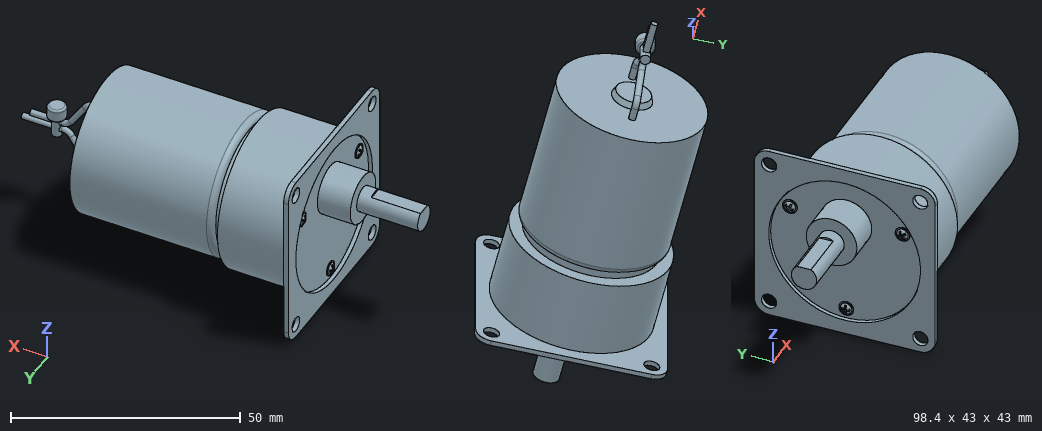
import cadquery as cq
import math

BOSS_START = 15.0
PLATE_FRONT = 22.0
PLATE_THICKNESS = 1.2
GEARBOX_END = 41.0
MOTOR_START = 43.0
MOTOR_END = 78.0
BEARING_CAP_END = 79.5
LONG_WIRE_END = 98.4
SHORT_WIRE_END = 96.4

SHAFT_OFFSET = 7.0
SHAFT_DIAMETER = 6.0
SHAFT_FLAT_LENGTH = 12.0
SHAFT_FLAT_DEPTH = 0.5
BOSS_DIAMETER = 12.0

PLATE_SIZE = 43.0
PLATE_CORNER_RADIUS = 3.5
MOUNT_HOLE_SPACING = 35.9
MOUNT_HOLE_DIAMETER = 3.5
RECESS_DIAMETER = 36.0
RECESS_DEPTH = 1.0

GEARBOX_DIAMETER = 37.0
NECK_DIAMETER = 31.0
MOTOR_DIAMETER = 34.1
MOTOR_SHOULDER_RADIUS = 1.5
CAP_BASE_DIAMETER = 9.3
CAP_TIP_DIAMETER = 8.1

SCREW_COUNT = 3
SCREW_CIRCLE_RADIUS = 15.5
SCREW_FLANGE_DIAMETER = 3.4
SCREW_FLANGE_HEIGHT = 0.2
SCREW_DOME_DIAMETER = 2.8
SCREW_DOME_HEIGHT = 0.7
CROSS_LENGTH = 2.0
CROSS_WIDTH = 0.4
CROSS_DEPTH = 0.5

WIRE_DIAMETER = 1.6
WIRE_EXIT_HEIGHT = 8.3
WIRE_JOINED_HEIGHT = 0.9
WIRE_SLOPE_START = 82.3
WIRE_SLOPE_END = 87.2
WIRE_BEND_RADIUS = 2.5

PIN_X = 90.1
PIN_STEM_DIAMETER = 2.4
PIN_BOTTOM = -2.9
PIN_HEAD_DIAMETER = 4.4
PIN_HEAD_BOTTOM = 1.9
PIN_HEAD_TOP = 5.2
PIN_HEAD_FILLET = 0.5

GEARBOX_START = PLATE_FRONT + RECESS_DEPTH
OVERLAP = 1.0


def x_cylinder(diameter, start, end, z=0):
    """Cylinder along X between two positions, at height z."""
    return cq.Workplane("YZ", origin=(start, 0, z)).circle(diameter / 2).extrude(end - start)


def make_shaft():
    """Output shaft with a flat on top, and the boss around it."""
    shaft = x_cylinder(SHAFT_DIAMETER, 0, BOSS_START + OVERLAP, z=SHAFT_OFFSET)
    flat_height = SHAFT_OFFSET + SHAFT_DIAMETER / 2 - SHAFT_FLAT_DEPTH
    flat = cq.Workplane("XY", origin=(0, 0, flat_height)).box(
        SHAFT_FLAT_LENGTH, SHAFT_DIAMETER, SHAFT_DIAMETER, centered=(False, True, False)
    )
    boss = x_cylinder(BOSS_DIAMETER, BOSS_START, GEARBOX_START + OVERLAP, z=SHAFT_OFFSET)
    return shaft.cut(flat).union(boss)


def make_plate():
    """Square plate with corner holes and a round opening that leaves the gearbox face recessed."""
    plate = (
        cq.Workplane("YZ", origin=(PLATE_FRONT, 0, 0))
        .rect(PLATE_SIZE, PLATE_SIZE)
        .extrude(PLATE_THICKNESS)
        .edges("|X")
        .fillet(PLATE_CORNER_RADIUS)
    )
    holes = (
        cq.Workplane("YZ", origin=(PLATE_FRONT, 0, 0))
        .rect(MOUNT_HOLE_SPACING, MOUNT_HOLE_SPACING, forConstruction=True)
        .vertices()
        .circle(MOUNT_HOLE_DIAMETER / 2)
        .extrude(PLATE_THICKNESS)
    )
    opening = x_cylinder(RECESS_DIAMETER, PLATE_FRONT, PLATE_FRONT + PLATE_THICKNESS)
    return plate.cut(holes).cut(opening)


def make_body():
    """Gearbox, neck, motor can and rear bearing cap as one turned profile."""
    motor_radius = MOTOR_DIAMETER / 2
    shoulder_inner_radius = motor_radius - MOTOR_SHOULDER_RADIUS
    shoulder_end = MOTOR_START + MOTOR_SHOULDER_RADIUS
    arc_offset = MOTOR_SHOULDER_RADIUS * math.sqrt(0.5)
    return (
        cq.Workplane("XY")
        .moveTo(GEARBOX_START, 0)
        .lineTo(GEARBOX_START, GEARBOX_DIAMETER / 2)
        .lineTo(GEARBOX_END, GEARBOX_DIAMETER / 2)
        .lineTo(GEARBOX_END, NECK_DIAMETER / 2)
        .lineTo(MOTOR_START, NECK_DIAMETER / 2)
        .lineTo(MOTOR_START, shoulder_inner_radius)
        .threePointArc(
            (shoulder_end - arc_offset, shoulder_inner_radius + arc_offset),
            (shoulder_end, motor_radius),
        )
        .lineTo(MOTOR_END, motor_radius)
        .lineTo(MOTOR_END, CAP_BASE_DIAMETER / 2)
        .lineTo(BEARING_CAP_END, CAP_TIP_DIAMETER / 2)
        .lineTo(BEARING_CAP_END, 0)
        .close()
        .revolve(360, (0, 0, 0), (1, 0, 0))
    )


def make_screw():
    """Flanged, domed cross-head screw at the bottom position."""
    dome_base = GEARBOX_START - SCREW_FLANGE_HEIGHT
    crown = dome_base - SCREW_DOME_HEIGHT
    radius = SCREW_DOME_DIAMETER / 2
    dome_radius = (radius**2 + SCREW_DOME_HEIGHT**2) / (2 * SCREW_DOME_HEIGHT)
    half_angle = math.asin(radius / dome_radius) / 2
    dome_middle = (
        crown + dome_radius * (1 - math.cos(half_angle)),
        dome_radius * math.sin(half_angle),
    )
    head = (
        cq.Workplane("XY")
        .moveTo(GEARBOX_START, 0)
        .lineTo(GEARBOX_START, SCREW_FLANGE_DIAMETER / 2)
        .lineTo(dome_base, SCREW_FLANGE_DIAMETER / 2)
        .lineTo(dome_base, radius)
        .threePointArc(dome_middle, (crown, 0))
        .close()
        .revolve(360, (0, 0, 0), (1, 0, 0))
    )
    cross = (
        cq.Workplane("YZ", origin=(crown, 0, 0))
        .rect(CROSS_LENGTH, CROSS_WIDTH)
        .extrude(CROSS_DEPTH)
        .union(
            cq.Workplane("YZ", origin=(crown, 0, 0))
            .rect(CROSS_WIDTH, CROSS_LENGTH)
            .extrude(CROSS_DEPTH)
        )
    )
    return head.cut(cross).translate((0, 0, -SCREW_CIRCLE_RADIUS))


def add_screws(part):
    """Join the screws to the part, evenly spaced around the motor axis."""
    screw = make_screw()
    for index in range(SCREW_COUNT):
        part = part.union(screw.rotate((0, 0, 0), (1, 0, 0), index * 360 / SCREW_COUNT))
    return part


def make_wire(side, end):
    """Wire leaving the motor above (side=1) or below (side=-1) the axis and bending inward."""
    exit_z = side * WIRE_EXIT_HEIGHT
    joined_z = side * WIRE_JOINED_HEIGHT
    slope = math.atan2(WIRE_EXIT_HEIGHT - WIRE_JOINED_HEIGHT, WIRE_SLOPE_END - WIRE_SLOPE_START)
    tangent = WIRE_BEND_RADIUS * math.tan(slope / 2)
    tangent_x = tangent * math.cos(slope)
    tangent_z = side * tangent * math.sin(slope)
    bend_x = WIRE_BEND_RADIUS * math.sin(slope / 2)
    bend_z = side * WIRE_BEND_RADIUS * (1 - math.cos(slope / 2))
    path = (
        cq.Workplane("XZ")
        .moveTo(MOTOR_END, exit_z)
        .lineTo(WIRE_SLOPE_START - tangent, exit_z)
        .threePointArc(
            (WIRE_SLOPE_START - tangent + bend_x, exit_z - bend_z),
            (WIRE_SLOPE_START + tangent_x, exit_z - tangent_z),
        )
        .lineTo(WIRE_SLOPE_END - tangent_x, joined_z + tangent_z)
        .threePointArc(
            (WIRE_SLOPE_END + tangent - bend_x, joined_z + bend_z),
            (WIRE_SLOPE_END + tangent, joined_z),
        )
        .lineTo(end, joined_z)
    )
    return cq.Workplane("YZ", origin=(MOTOR_END, 0, exit_z)).circle(WIRE_DIAMETER / 2).sweep(path)


def make_pin():
    """Upright pin crossing both wires, with a rounded head on top."""
    stem = (
        cq.Workplane("XY", origin=(PIN_X, 0, PIN_BOTTOM))
        .circle(PIN_STEM_DIAMETER / 2)
        .extrude(PIN_HEAD_BOTTOM - PIN_BOTTOM)
    )
    head = (
        cq.Workplane("XY", origin=(PIN_X, 0, PIN_HEAD_BOTTOM))
        .circle(PIN_HEAD_DIAMETER / 2)
        .extrude(PIN_HEAD_TOP - PIN_HEAD_BOTTOM)
        .edges()
        .fillet(PIN_HEAD_FILLET)
    )
    return stem.union(head)


result = make_plate().union(make_body()).union(make_shaft())
result = add_screws(result)
result = result.union(make_wire(1, SHORT_WIRE_END)).union(make_wire(-1, LONG_WIRE_END))
result = result.union(make_pin())